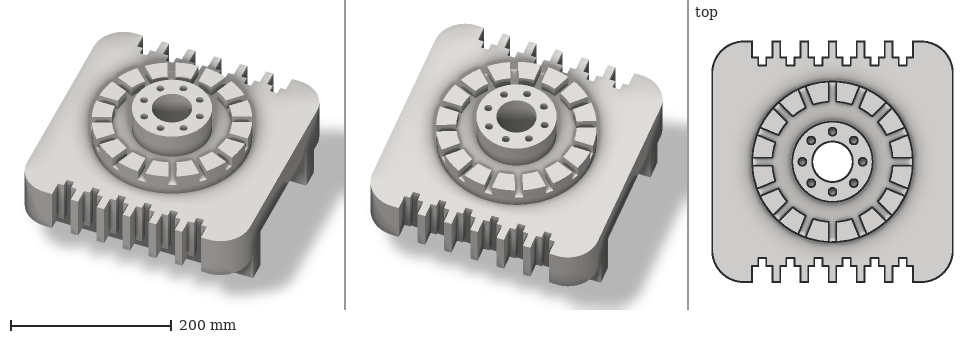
import cadquery as cq
import math

plate_size = 300.0
corner_radius = 40.0
rail_drop = 40.0
plate_thickness = 60.0
plate_top = rail_drop + plate_thickness

rail_span = 200.0
channel_width = 150.0
channel_height = 60.0

slots_per_edge = 6
rib_width = 10.0
slotted_length = 200.0
slot_width = (slotted_length - (slots_per_edge - 1) * rib_width) / slots_per_edge
slot_pitch = slot_width + rib_width
slot_depth = 20.0
slot_step_width = 10.0
slot_step_depth = 10.0

disc_diameter = 200.0
disc_height = 30.0
tooth_count = 16
tooth_height = 15.0
tooth_ring_inner_diameter = 150.0
tooth_gap = 10.0
disc_top = plate_top + disc_height
tooth_base = disc_top - tooth_height

total_height = 150.0
hub_diameter = 100.0
bore_diameter = 50.0
hole_count = 8
hole_circle_diameter = 75.0
hole_diameter = 10.0
hole_depth = 30.0
drill_point_angle = 82.0


def make_plate():
    return (
        cq.Workplane("XY", origin=(0, 0, rail_drop))
        .rect(plate_size, plate_size)
        .extrude(plate_thickness)
        .edges("|Z")
        .fillet(corner_radius)
    )


def make_rails():
    return cq.Workplane("XY").rect(plate_size, rail_span).extrude(rail_drop)


def make_channel():
    return cq.Workplane("XY").rect(plate_size, channel_width).extrude(channel_height)


def make_edge_slots():
    """Cutters for the slots, each with a narrower step behind a wide mouth."""
    first_x = -(slots_per_edge - 1) * slot_pitch / 2
    slot_xs = [first_x + i * slot_pitch for i in range(slots_per_edge)]
    full_depth = slot_depth + slot_step_depth
    cutters = cq.Workplane("XY")
    for width, depth in ((slot_width, slot_depth), (slot_step_width, full_depth)):
        centre_y = (plate_size - depth) / 2
        centres = [(x, side * centre_y) for x in slot_xs for side in (-1, 1)]
        cutters = cutters.add(
            cq.Workplane("XY").pushPoints(centres).rect(width, depth).extrude(plate_top)
        )
    return cutters.combine()


def make_toothed_disc():
    disc = cq.Workplane("XY", origin=(0, 0, plate_top)).circle(disc_diameter / 2).extrude(disc_height)
    tooth_plane = cq.Workplane("XY", origin=(0, 0, tooth_base))
    disc = disc.cut(tooth_plane.circle(tooth_ring_inner_diameter / 2).extrude(tooth_height))
    bar = tooth_plane.rect(disc_diameter, tooth_gap).extrude(tooth_height)
    for i in range(tooth_count // 2):
        disc = disc.cut(bar.rotate((0, 0, 0), (0, 0, 1), i * 360 / tooth_count))
    return disc


def make_hub():
    return (
        cq.Workplane("XY", origin=(0, 0, plate_top))
        .circle(hub_diameter / 2)
        .extrude(total_height - plate_top)
    )


def make_bore():
    return cq.Workplane("XY").circle(bore_diameter / 2).extrude(total_height)


def make_hub_holes():
    """Cutters for the blind holes, each ending in a drill point."""
    radius = hole_diameter / 2
    point_depth = radius / math.tan(math.radians(drill_point_angle / 2))
    drill = (
        cq.Workplane("XZ")
        .lineTo(radius, 0)
        .lineTo(radius, -hole_depth)
        .lineTo(0, -hole_depth - point_depth)
        .close()
        .revolve(360, (0, 0, 0), (0, 1, 0))
        .val()
    )
    return (
        cq.Workplane("XY", origin=(0, 0, total_height))
        .polarArray(hole_circle_diameter / 2, 0, 360, hole_count)
        .eachpoint(lambda place: drill.moved(place), combine=False, useLocalCoordinates=False)
        .combine()
    )


result = (
    make_plate()
    .union(make_rails())
    .cut(make_channel())
    .cut(make_edge_slots())
    .union(make_toothed_disc())
    .union(make_hub())
    .cut(make_bore())
    .cut(make_hub_holes())
)